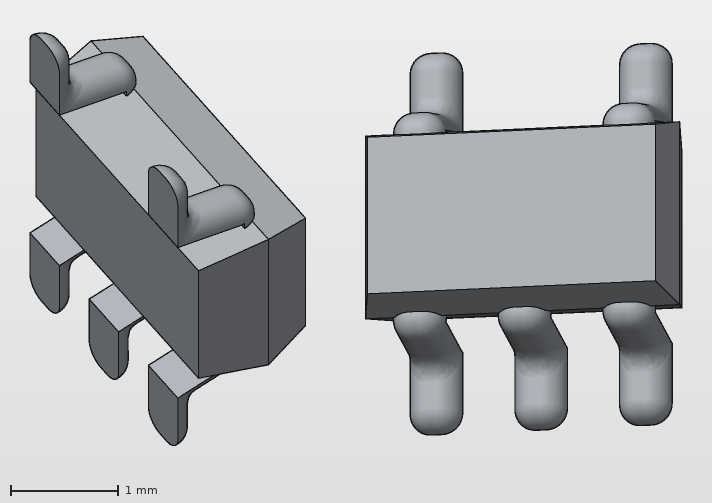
import cadquery as cq
import math

BODY_LENGTH = 3.0
BODY_WIDTH = 1.75
BODY_DEPTH = 1.2
STANDOFF = 0.15
PARTING_TO_BACK = 0.5
DRAFT_INSET = 0.126

SPAN = 3.65
LEAD_WIDTH = 0.5
LEAD_THICKNESS = 0.2
LEAD_PITCH = 1.0
EDGE_RADIUS = LEAD_THICKNESS
FOOT_LENGTH = 0.775
HEEL_RADIUS = 0.2
ARM_SLOPE = 10.0
ARM_THICKNESS = 0.175
NECK_EMBED = 0.2
HEEL_OVERRUN = 0.1

BODY_FRONT = STANDOFF
BODY_BACK = STANDOFF + BODY_DEPTH
PARTING_Y = BODY_BACK - PARTING_TO_BACK
NECK_Y = PARTING_Y - LEAD_THICKNESS / 2

TIP_Z = SPAN / 2
TIP_ROUND_Z = TIP_Z - EDGE_RADIUS
HEEL_Z = TIP_Z - FOOT_LENGTH
NECK_START_Z = BODY_WIDTH / 2 - NECK_EMBED
SLOPE = math.radians(ARM_SLOPE)
ARM_CORNER_Z = HEEL_Z - NECK_Y * math.tan(SLOPE)
BEND_Z = ARM_CORNER_Z - (LEAD_THICKNESS - ARM_THICKNESS) / math.cos(SLOPE)

QUARTER_TURN = 90.0
NECK_TO_ARM_TURN = QUARTER_TURN - ARM_SLOPE


def make_body():
    """Two frustums joined at the parting plane."""

    def frustum(face_y):
        return (
            cq.Workplane("XZ", origin=(0, PARTING_Y, 0))
            .rect(BODY_LENGTH, BODY_WIDTH)
            .workplane(offset=PARTING_Y - face_y)
            .rect(BODY_LENGTH - 2 * DRAFT_INSET, BODY_WIDTH - 2 * DRAFT_INSET)
            .loft(ruled=True)
        )

    return frustum(BODY_FRONT).union(frustum(BODY_BACK))


def lead_section(y, z, outward_angle):
    """Lead cross-section with its two outer edges rounded over the full thickness.

    The flat base line is centred on (y, z) and the rounded side faces
    outward_angle, in degrees from +Y towards +Z.
    """
    angle = math.radians(outward_angle)
    plane = cq.Plane(
        origin=(0, y, z),
        xDir=(1, 0, 0),
        normal=(0, -math.sin(angle), math.cos(angle)),
    )
    half_width = LEAD_WIDTH / 2
    half_flat = half_width - EDGE_RADIUS
    diagonal = EDGE_RADIUS * math.sqrt(0.5)
    return (
        cq.Workplane(plane)
        .moveTo(-half_width, 0)
        .lineTo(half_width, 0)
        .threePointArc((half_flat + diagonal, diagonal), (half_flat, EDGE_RADIUS))
        .lineTo(-half_flat, EDGE_RADIUS)
        .threePointArc((-half_flat - diagonal, diagonal), (-half_width, 0))
        .close()
    )


def make_lead_envelope():
    """Prism that trims a lead to its flat underside and seating face."""
    return (
        cq.Workplane("YZ")
        .moveTo(NECK_Y, NECK_START_Z)
        .lineTo(NECK_Y, ARM_CORNER_Z)
        .lineTo(0, HEEL_Z)
        .lineTo(0, TIP_Z)
        .lineTo(BODY_BACK, TIP_Z)
        .lineTo(BODY_BACK, NECK_START_Z)
        .close()
        .extrude(LEAD_WIDTH, both=True)
    )


def make_arm_and_foot():
    """Sloping arm and straight foot that meet in a mitre, rounded on its concave side."""
    arm_length = NECK_Y / math.cos(SLOPE) + HEEL_OVERRUN
    arm = lead_section(NECK_Y, BEND_Z, NECK_TO_ARM_TURN).extrude(arm_length)
    foot = lead_section(0, ARM_CORNER_Z, 0).extrude(TIP_ROUND_Z - ARM_CORNER_Z)
    joined = arm.union(foot).intersect(make_lead_envelope())

    seam_zone = cq.selectors.BoxSelector(
        (-LEAD_WIDTH, LEAD_THICKNESS / 2, HEEL_Z),
        (LEAD_WIDTH, LEAD_THICKNESS * 2, HEEL_Z + LEAD_THICKNESS),
    )
    return joined.edges(seam_zone).fillet(HEEL_RADIUS)


def make_lead():
    """Lead at X = 0 that leaves the body towards +Z."""
    neck = lead_section(NECK_Y, NECK_START_Z, 0).extrude(BEND_Z - NECK_START_Z)
    bend = lead_section(NECK_Y, BEND_Z, 0).revolve(NECK_TO_ARM_TURN, (0, 0), (1, 0))
    tip = lead_section(0, TIP_ROUND_Z, 0).revolve(QUARTER_TURN, (0, 0), (1, 0))
    return make_arm_and_foot().union(neck).union(bend).union(tip)


def make_part():
    """Body with two leads on the +Z side and three on the -Z side."""
    part = make_body()
    upper_lead = make_lead()
    lower_lead = upper_lead.mirror("XY")
    for x in (-LEAD_PITCH, LEAD_PITCH):
        part = part.union(upper_lead.translate((x, 0, 0)))
    for x in (-LEAD_PITCH, 0, LEAD_PITCH):
        part = part.union(lower_lead.translate((x, 0, 0)))
    return part


result = make_part()